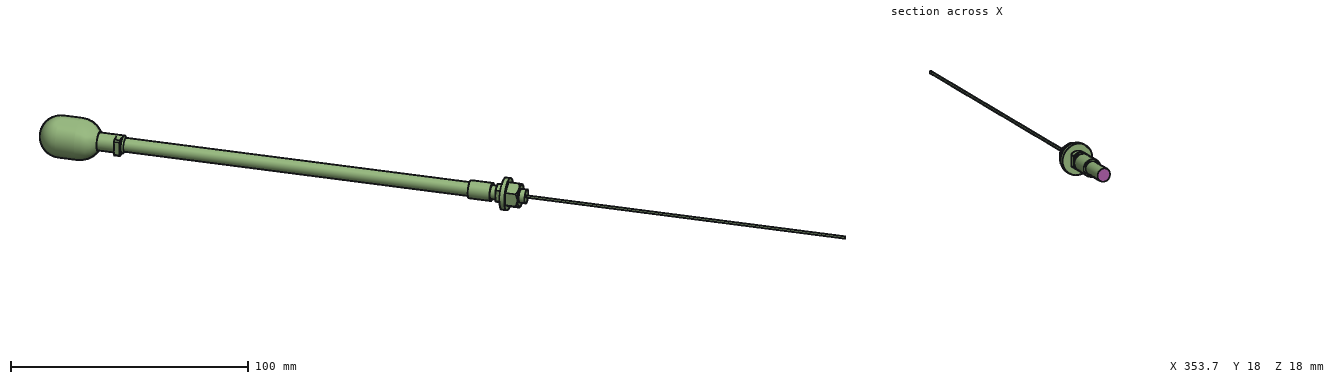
import cadquery as cq
import math

total_length = 353.7

knob_radius = 18.0 / 2
barrel_end = 17.5
knob_end = 25.8
knob_end_radius = 4.2

collar_radius = 4.0
collar_end = 37.5
collar_chamfer = 1.0
rod_radius = 3.0

tab_start = 33.5
tab_end = 36.0
tab_reach = 4.5
tab_height = 7.5
tab_chamfer = 0.7

sleeve_start = 189.0
sleeve_end = 198.5
flats_start = 201.0
flats_width = 2 * rod_radius

washer_start = 203.7
washer_end = 206.0
washer_radius = 13.8 / 2
nut_across_flats = 10.0
nut_end = 211.0
nut_chamfer = 0.9
bush_end = 213.5

wire_radius = 0.53


def cylinder(start, end, radius):
    """Solid cylinder on the X axis."""
    return cq.Workplane("YZ", origin=(start, 0, 0)).circle(radius).extrude(end - start)


def make_knob():
    """Turned knob; the rear dome runs tangent to the barrel."""
    dome_length = knob_end - barrel_end
    dome_drop = knob_radius - knob_end_radius
    dome_radius = (dome_length**2 + dome_drop**2) / (2 * dome_drop)
    profile = (
        cq.Workplane("XY")
        .moveTo(0, 0)
        .radiusArc((knob_radius, knob_radius), knob_radius)
        .lineTo(barrel_end, knob_radius)
        .radiusArc((knob_end, knob_end_radius), dome_radius)
        .lineTo(knob_end, 0)
        .close()
    )
    return profile.revolve(360, (0, 0, 0), (1, 0, 0))


def make_collar():
    """Collar chamfered where the rod leaves it, with its lock tab."""
    body = cylinder(knob_end, collar_end, collar_radius).faces(">X").chamfer(collar_chamfer)
    tab = (
        cq.Workplane("XY", origin=(tab_start, 0, 0))
        .box(tab_end - tab_start, tab_reach, tab_height, centered=(False, False, True))
        .translate((0, -tab_reach, 0))
        .faces("<Y")
        .edges("|X")
        .chamfer(tab_chamfer)
    )
    return body.union(tab)


def make_flatted_neck():
    """Round neck with a flat on its +Y and -Y sides."""
    length = washer_start - flats_start
    slab = cq.Workplane("XY", origin=(flats_start, 0, 0)).box(
        length, flats_width, 2 * collar_radius, centered=(False, True, True)
    )
    return cylinder(flats_start, washer_start, collar_radius).intersect(slab)


def make_nut():
    """Hexagonal nut whose corners are chamfered at the outer end."""
    corner_radius = nut_across_flats / math.sqrt(3)
    hexagon = (
        cq.Workplane("YZ", origin=(washer_end, 0, 0))
        .transformed(rotate=(0, 0, 90))
        .polygon(6, 2 * corner_radius)
        .extrude(nut_end - washer_end)
    )
    envelope = cylinder(washer_end, nut_end, corner_radius).faces(">X").chamfer(nut_chamfer)
    return hexagon.intersect(envelope)


result = (
    make_knob()
    .union(make_collar())
    .union(cylinder(knob_end, bush_end, rod_radius))
    .union(cylinder(sleeve_start, sleeve_end, collar_radius))
    .union(make_flatted_neck())
    .union(cylinder(washer_start, washer_end, washer_radius))
    .union(make_nut())
    .union(cylinder(bush_end, total_length, wire_radius))
)